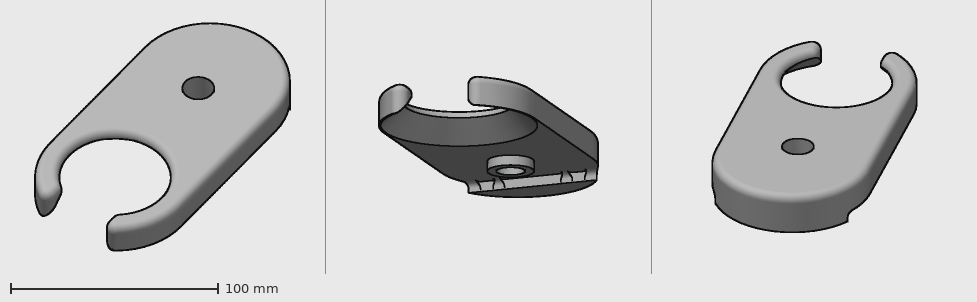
import cadquery as cq
import math

overall_length = 150.7
overall_height = 20.0
outer_radius = 38.7
plate_underside = 5.0
edge_fillet = 3.9
draft_angle = 2.0

hook_lip_radius = 26.8
hook_base_radius = 37.8
mouth_half_width = 15.5
tip_corner_radius = 4.5

hole_top_radius = 7.7
hole_from_end = 48.5
boss_radius = 11.3

pad_length = 18.7
pad_root_fillet = 2.9
notch_inset = 0.08
notch_corner_radius = 2.0
notch_spans = [(-28.2, -19.1), (-15.8, 15.8), (19.1, 28.2)]

plate_thickness = overall_height - plate_underside
draft_slope = math.tan(math.radians(draft_angle))
hole_y = outer_radius - hole_from_end
pad_foot_y = outer_radius - pad_length
pad_root_y = pad_foot_y - plate_underside * draft_slope
lip_z = overall_height - edge_fillet

corner_x = mouth_half_width + tip_corner_radius
outer_corner_reach = outer_radius - tip_corner_radius
outer_corner_y = math.sqrt(outer_corner_reach**2 - corner_x**2)
inner_corner_reach = hook_lip_radius + tip_corner_radius
inner_corner_y = math.sqrt(inner_corner_reach**2 - corner_x**2)
hook_y = outer_corner_y + tip_corner_radius + outer_radius - overall_length


def arc_middle(center, start, end):
    """Middle of the shorter arc from start to end about center."""
    radius = math.dist(center, start)
    half_x = (start[0] + end[0]) / 2 - center[0]
    half_y = (start[1] + end[1]) / 2 - center[1]
    reach = math.hypot(half_x, half_y)
    return (center[0] + radius * half_x / reach, center[1] + radius * half_y / reach)


def mirrored(point):
    return (-point[0], point[1])


def point_towards(target, radius):
    """Point on a circle about the hook centre, in the direction of target."""
    scale = radius / math.dist((0, hook_y), target)
    return (target[0] * scale, hook_y + (target[1] - hook_y) * scale)


def plate_outline():
    """Rounded end, straight sides and an open hook with rounded tips."""
    hook_center = (0, hook_y)
    outer_corner = (corner_x, hook_y - outer_corner_y)
    inner_corner = (corner_x, hook_y - inner_corner_y)
    side_end = (outer_radius, hook_y)
    tip_outside = point_towards(outer_corner, outer_radius)
    tip_bottom = (mouth_half_width, outer_corner[1])
    tip_top = (mouth_half_width, inner_corner[1])
    tip_inside = point_towards(inner_corner, hook_lip_radius)

    outside_middle = arc_middle(hook_center, side_end, tip_outside)
    outer_corner_middle = arc_middle(outer_corner, tip_outside, tip_bottom)
    inner_corner_middle = arc_middle(inner_corner, tip_top, tip_inside)
    return (
        cq.Workplane("XY")
        .moveTo(outer_radius, 0)
        .lineTo(*side_end)
        .threePointArc(outside_middle, tip_outside)
        .threePointArc(outer_corner_middle, tip_bottom)
        .lineTo(*tip_top)
        .threePointArc(inner_corner_middle, tip_inside)
        .threePointArc((0, hook_y + hook_lip_radius), mirrored(tip_inside))
        .threePointArc(mirrored(inner_corner_middle), mirrored(tip_top))
        .lineTo(*mirrored(tip_bottom))
        .threePointArc(mirrored(outer_corner_middle), mirrored(tip_outside))
        .threePointArc(mirrored(outside_middle), mirrored(side_end))
        .lineTo(-outer_radius, 0)
        .threePointArc((0, outer_radius), (outer_radius, 0))
        .close()
    )


def cone(bottom_radius, top_radius, bottom_z, height, y):
    solid = cq.Solid.makeCone(bottom_radius, top_radius, height, cq.Vector(0, y, bottom_z))
    return cq.Workplane(obj=solid)


def plate():
    """Plate with its top edge rounded and the hook opening flared downwards."""
    blank = plate_outline().extrude(plate_thickness)
    blank = blank.translate((0, 0, plate_underside)).faces(">Z").edges().fillet(edge_fillet)
    flare = cone(hook_base_radius, hook_lip_radius, plate_underside, lip_z - plate_underside, hook_y)
    return blank.cut(flare)


def end_pad():
    """Raised pad under the rounded end, its drafted front face blended into the plate and notched."""
    ceiling = plate_underside + pad_root_fillet
    profile = [
        (outer_radius, 0),
        (pad_foot_y, 0),
        (pad_root_y, plate_underside),
        (0, plate_underside),
        (0, ceiling),
        (outer_radius, ceiling),
    ]
    block = cq.Workplane("YZ").polyline(profile).close().extrude(outer_radius, both=True)
    root = cq.selectors.NearestToPointSelector((0, pad_root_y, plate_underside))
    block = block.edges("|X").edges(root).fillet(pad_root_fillet)
    for start_x, end_x in notch_spans:
        block = block.cut(notch(start_x, end_x))
    rounded_end = cq.Workplane("XY").circle(outer_radius).extrude(ceiling)
    return block.intersect(rounded_end)


def notch(start_x, end_x):
    """Flat-backed cut that clears the root fillet, with rounded back corners."""
    back_y = pad_foot_y + notch_inset
    return (
        cq.Workplane("XY")
        .moveTo((start_x + end_x) / 2, back_y / 2)
        .rect(end_x - start_x, back_y)
        .extrude(plate_underside)
        .edges("|Z and >Y")
        .fillet(notch_corner_radius)
    )


def boss():
    return cq.Workplane("XY").center(0, hole_y).circle(boss_radius).extrude(plate_underside)


def hole():
    bottom_radius = hole_top_radius - overall_height * draft_slope
    return cone(bottom_radius, hole_top_radius, 0, overall_height, hole_y)


result = plate().union(end_pad()).union(boss()).cut(hole())